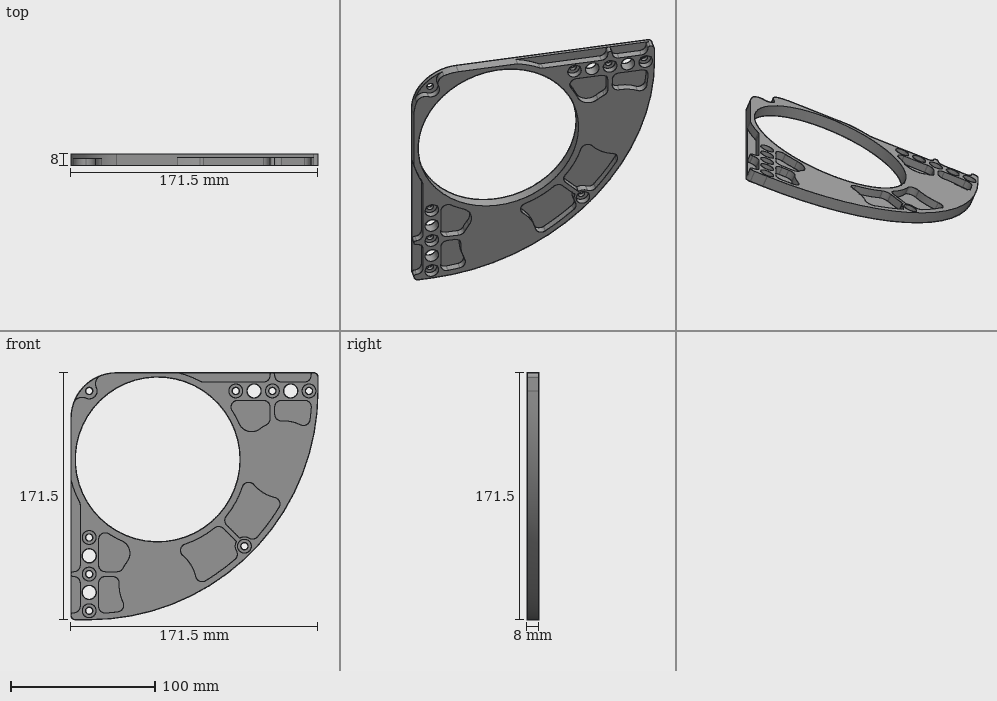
import cadquery as cq
import math


size = 171.5
thickness = 8.0
hole_pitch = 12.7
rim_center = hole_pitch
rim_radius = size - rim_center
corner_radius = 31.7
tip_radius = 3.3

opening_center = 60.2
opening_radius = 57.1

rib = 3.3
rim_wall = 4.3
opening_wall = 4.6
pocket_radius = 4.6
tapered_corner_radius = 9.5
pocket_depth = 5.5

pad_x = 147.5
pad_drop = 60.4
pad_radius = 27.0

screw_radius = 2.4
bore_radius = 4.8
bore_depth = 4.8
first_hole = 114.4
holes_per_row = 5
diagonal_hole = 120.4

rebate_width = 6.5
row_pocket_top = 19.2
lip_radius = rib / 2
middle_hole = first_hole + 2 * hole_pitch

recess_depth = bore_depth
recess_radius = 5.5
flare_radius = 6.3

diagonal_step = math.sqrt(0.5)

corner_edges = cq.selectors.ParallelDirSelector(cq.Vector(0, 1, 0))


def cylinder(x, drop, radius, depth=thickness):
    """Cylinder at x, drop below the top edge, reaching from the front face to a depth."""
    floor = cq.Workplane("XZ", origin=(x, depth - thickness, -drop))
    return floor.circle(radius).extrude(depth)


def block(x_min, x_max, drop_min, drop_max, depth):
    """Rectangular block reaching from the front face to a depth."""
    corner = cq.Workplane("XY", origin=(x_min, -thickness, -drop_max))
    return corner.box(x_max - x_min, depth, drop_max - drop_min, centered=False)


def mirrored(body):
    """Copy of a body on the other side of the plate's diagonal."""
    return body.mirror(cq.Vector(1, 0, 1), (0, 0, 0))


def clear_of_walls(blank):
    """Trim a pocket blank to leave the rim, the opening's wall and the pad."""
    inside_rim = cylinder(rim_center, rim_center, rim_radius - rim_wall)
    opening_guard = cylinder(opening_center, opening_center, opening_radius + opening_wall)
    pad = cylinder(pad_x, pad_drop, pad_radius)
    return blank.intersect(inside_rim).cut(opening_guard).cut(pad)


def plate():
    """Rounded quarter plate with its large opening."""
    diagonal_reach = rim_radius * diagonal_step
    return (
        cq.Workplane("XZ")
        .lineTo(size, 0)
        .lineTo(size, -rim_center)
        .threePointArc(
            (rim_center + diagonal_reach, -rim_center - diagonal_reach),
            (rim_center, -size),
        )
        .lineTo(0, -size)
        .close()
        .extrude(thickness)
        .edges("|Y and <X and >Z")
        .fillet(corner_radius)
        .edges("|Y and (>(1,0,1) or <(1,0,1))")
        .fillet(tip_radius)
        .cut(cylinder(opening_center, opening_center, opening_radius))
    )


def rebate(x_min, x_max):
    """Step along the top edge, open at the edge and rounded at its inner corners."""
    blank = clear_of_walls(block(x_min, x_max, -2 * rebate_width, rebate_width, pocket_depth))
    return blank.edges("|Y and <Z").fillet(pocket_radius)


def lip(x, direction):
    """Flare at a rebate end at x, rounding the wall that stands in the given X direction."""
    round_x = x + direction * lip_radius
    flare = block(min(x, round_x), max(x, round_x), 0, lip_radius, pocket_depth)
    return flare.cut(cylinder(round_x, lip_radius, lip_radius))


def inner_rebate():
    """Rebate from the wall of the opening to the rib at the middle screw hole."""
    x_max = middle_hole - rib / 2
    return rebate(opening_center, x_max).union(lip(x_max, 1))


def outer_rebate():
    """Rebate from the rib at the middle screw hole to the rounded tip."""
    x_min = middle_hole + rib / 2
    x_max = size - tip_radius - lip_radius
    return rebate(x_min, x_max).union(lip(x_min, -1)).union(lip(x_max, 1))


def row_pocket(x_min, x_max):
    """Closed pocket below the row of holes along the top edge, with sharp corners."""
    return clear_of_walls(block(x_min, x_max, row_pocket_top, pad_drop, pocket_depth))


def inner_row_pocket():
    """Row pocket next to the opening, with a wider round at its lowest corner."""
    blank = row_pocket(opening_center, middle_hole - rib / 2)
    lowest = cq.selectors.BoxSelector(
        (opening_center, -thickness, -pad_drop),
        (pad_x - pad_radius / 2, 0, -pad_drop + pad_radius / 2),
    )
    rounded = blank.edges(corner_edges - lowest).fillet(pocket_radius)
    return rounded.edges(cq.selectors.AndSelector(corner_edges, lowest)).fillet(tapered_corner_radius)


def outer_row_pocket():
    """Row pocket next to the rim."""
    return row_pocket(middle_hole + rib / 2, size).edges("|Y").fillet(pocket_radius)


def diagonal_pocket():
    """Closed pocket beside the diagonal, on its upper side, curved around the diagonal hole."""
    rib_shift = rib * diagonal_step
    blank = clear_of_walls(
        cq.Workplane("XZ", origin=(0, pocket_depth - thickness, 0))
        .moveTo(opening_center + rib_shift, -opening_center)
        .lineTo(size + rib_shift, -size)
        .lineTo(size + rib_shift, -opening_center)
        .close()
        .extrude(pocket_depth)
    )
    hole_wall_radius = bore_radius + rib / 2
    blank = blank.cut(cylinder(diagonal_hole, diagonal_hole, hole_wall_radius))
    along_rib = math.sqrt(hole_wall_radius**2 - (rib / 2) ** 2) * diagonal_step
    sharp_x = diagonal_hole - along_rib + rib_shift / 2
    sharp_z = -diagonal_hole + along_rib + rib_shift / 2
    sharp_edge = cq.selectors.BoxSelector(
        (sharp_x - rib / 2, -thickness, sharp_z - rib / 2),
        (sharp_x + rib / 2, 0, sharp_z + rib / 2),
    )
    return blank.edges(corner_edges - sharp_edge).fillet(pocket_radius)


def corner_recess():
    """Recess around the corner screw hole, with flares tangent to it and to the rounded corner."""
    base = (corner_radius - hole_pitch) / diagonal_step
    to_hole = recess_radius + flare_radius
    to_corner = corner_radius - flare_radius
    along = (to_hole**2 - to_corner**2 + base**2) / (2 * base)
    across = math.sqrt(to_hole**2 - along**2)
    flare_x = hole_pitch + (along + across) * diagonal_step
    flare_drop = hole_pitch + (along - across) * diagonal_step

    edge_scale = corner_radius / to_corner
    edge_x = corner_radius + (flare_x - corner_radius) * edge_scale
    edge_drop = corner_radius + (flare_drop - corner_radius) * edge_scale
    hole_scale = recess_radius / to_hole
    joint_x = hole_pitch + (flare_x - hole_pitch) * hole_scale
    joint_drop = hole_pitch + (flare_drop - hole_pitch) * hole_scale
    flare_side_x = flare_x - flare_radius
    deepest = hole_pitch + recess_radius * diagonal_step
    return (
        cq.Workplane("XZ", origin=(0, recess_depth - thickness, 0))
        .lineTo(edge_x, 0)
        .lineTo(edge_x, -edge_drop)
        .threePointArc((flare_side_x, -flare_drop), (joint_x, -joint_drop))
        .threePointArc((deepest, -deepest), (joint_drop, -joint_x))
        .threePointArc((flare_drop, -flare_side_x), (edge_drop, -edge_x))
        .lineTo(0, -edge_x)
        .close()
        .extrude(recess_depth)
    )


def row_of_holes():
    """Row along the top edge: stepped screw holes alternating with plain holes."""
    holes = cq.Workplane("XZ")
    for index in range(holes_per_row):
        x = first_hole + index * hole_pitch
        if index % 2 == 0:
            holes = holes.add(stepped_hole(x, hole_pitch))
        else:
            holes = holes.add(cylinder(x, hole_pitch, bore_radius))
    return holes.combine()


def stepped_hole(x, drop):
    """Screw hole with a wider bore at the front face."""
    return cylinder(x, drop, screw_radius).union(cylinder(x, drop, bore_radius, bore_depth))


half_cuts = [
    inner_rebate(),
    outer_rebate(),
    inner_row_pocket(),
    outer_row_pocket(),
    diagonal_pocket(),
    row_of_holes(),
]

result = plate()
for cut in half_cuts:
    result = result.cut(cut).cut(mirrored(cut))
result = (
    result.cut(corner_recess())
    .cut(cylinder(hole_pitch, hole_pitch, screw_radius))
    .cut(stepped_hole(diagonal_hole, diagonal_hole))
)